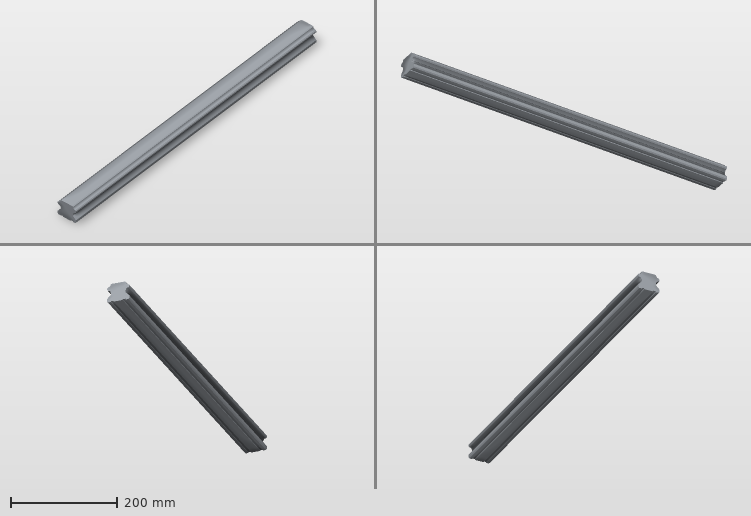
import cadquery as cq
import math

rail_width = 45.0
rail_length = 700.0
rail_height = 38.0

head_half_width = 15.5
top_bevel_width = 2.0
nose_center_z = 28.0
nose_flat_height = 3.15
nose_bevel = 1.95

neck_half_width = 15.0
neck_bottom_z = 15.5

shoulder_bottom_z = 8.0
foot_bevel = 2.0

groove_center_x = 12.0
groove_width = 5.5
groove_depth = 1.75

half_width = rail_width / 2
nose_shoulder_x = half_width - nose_bevel
nose_flat_top_z = nose_center_z + nose_flat_height / 2
nose_flat_bottom_z = nose_center_z - nose_flat_height / 2
upper_raceway_bottom_z = nose_flat_top_z + nose_bevel
lower_raceway_top_z = nose_flat_bottom_z - nose_bevel
raceway_radius = nose_shoulder_x - head_half_width
upper_raceway_top_z = upper_raceway_bottom_z + raceway_radius
lower_raceway_bottom_z = lower_raceway_top_z - raceway_radius


def raceway_middle(center_z, side):
    """Middle point of a quarter-round raceway; side is -1 for its lower half, +1 for its upper half."""
    diagonal = raceway_radius * math.sqrt(0.5)
    return (nose_shoulder_x - diagonal, center_z + side * diagonal)


def half_rail():
    """The +X half of the rail, extruded over the full length."""
    return (
        cq.Workplane("XZ")
        .moveTo(0, rail_height)
        .lineTo(head_half_width - top_bevel_width, rail_height)
        .lineTo(head_half_width, upper_raceway_top_z)
        .threePointArc(raceway_middle(upper_raceway_top_z, -1), (nose_shoulder_x, upper_raceway_bottom_z))
        .lineTo(half_width, nose_flat_top_z)
        .lineTo(half_width, nose_flat_bottom_z)
        .lineTo(nose_shoulder_x, lower_raceway_top_z)
        .threePointArc(raceway_middle(lower_raceway_bottom_z, 1), (head_half_width, lower_raceway_bottom_z))
        .lineTo(neck_half_width, lower_raceway_bottom_z)
        .lineTo(neck_half_width, neck_bottom_z)
        .lineTo(half_width, shoulder_bottom_z)
        .lineTo(half_width, foot_bevel)
        .lineTo(half_width - foot_bevel, 0)
        .lineTo(0, 0)
        .close()
        .extrude(rail_length / 2, both=True)
    )


def underside_grooves():
    """Two shallow full-length grooves, one on each side of the center."""
    return (
        cq.Workplane("XY")
        .pushPoints([(-groove_center_x, 0), (groove_center_x, 0)])
        .rect(groove_width, rail_length)
        .extrude(groove_depth)
    )


rail = half_rail().union(half_rail().mirror("YZ")).clean()
result = rail.cut(underside_grooves())